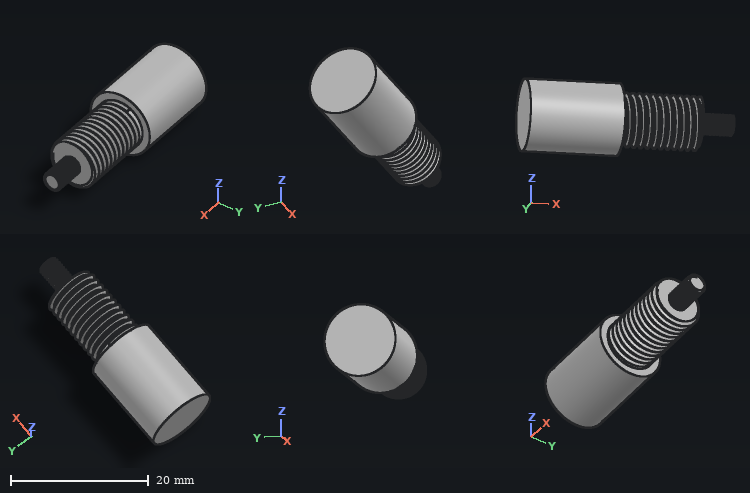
import cadquery as cq
import math

HEAD_DIAMETER = 10.6
HEAD_LENGTH = 14.0

BODY_DIAMETER = 8.0
BODY_LENGTH = 12.0
BODY_PITCH = 1.0
BODY_START_ANGLE = 64.0

STUD_DIAMETER = 3.0
STUD_LENGTH = 5.0
STUD_PITCH = 0.5
STUD_START_ANGLE = 50.0

FLANK_HALF_ANGLE = math.radians(30.0)
CREST_FRACTION = 0.1
ROOT_FRACTION = 0.2
GROOVE_PHASE = 0.25
FULL_TURN = 360.0
OVERCUT_FRACTION = 0.05
RUNOUT_TURNS = 1.5

BLANK_MARGIN_TURNS = 4


def thread_groove(diameter, length, pitch, start_angle):
    """Right-hand helical groove about local Z, with an abrupt radial start face."""
    crest_radius = diameter / 2
    root_half_width = pitch * ROOT_FRACTION / 2
    crest_half_width = pitch * (1 - CREST_FRACTION) / 2
    depth = (crest_half_width - root_half_width) / math.tan(FLANK_HALF_ANGLE)
    root_radius = crest_radius - depth
    overcut = pitch * OVERCUT_FRACTION
    outer_radius = crest_radius + overcut
    outer_half_width = crest_half_width + overcut * math.tan(FLANK_HALF_ANGLE)

    helix = cq.Wire.makeHelix(pitch, length + RUNOUT_TURNS * pitch, root_radius)
    groove = (
        cq.Workplane("XZ")
        .moveTo(root_radius, -root_half_width)
        .lineTo(outer_radius, -outer_half_width)
        .lineTo(outer_radius, outer_half_width)
        .lineTo(root_radius, root_half_width)
        .close()
        .sweep(cq.Workplane(obj=helix), isFrenet=True)
    )
    start_height = pitch * (GROOVE_PHASE + start_angle / FULL_TURN)
    return groove.rotate((0, 0, 0), (0, 0, 1), start_angle).translate((0, 0, start_height))


def threaded_rod(diameter, length, pitch, start_angle, x_start):
    """Threaded cylinder along +X from x_start."""
    margin = BLANK_MARGIN_TURNS * pitch
    blank_length = length + 2 * margin
    blank = cq.Workplane("XY").workplane(offset=-margin).circle(diameter / 2).extrude(blank_length)
    trim = cq.Workplane("XY").circle(diameter).extrude(length)
    rod = blank.cut(thread_groove(diameter, length, pitch, start_angle)).intersect(trim)
    rod_plane = cq.Plane(origin=(x_start, 0, 0), xDir=(0, 1, 0), normal=(1, 0, 0))
    return cq.Workplane(obj=rod.val().moved(cq.Location(rod_plane)))


body_start = HEAD_LENGTH
stud_start = HEAD_LENGTH + BODY_LENGTH

head = cq.Workplane("YZ").circle(HEAD_DIAMETER / 2).extrude(HEAD_LENGTH)
body = threaded_rod(BODY_DIAMETER, BODY_LENGTH, BODY_PITCH, BODY_START_ANGLE, body_start)
stud = threaded_rod(STUD_DIAMETER, STUD_LENGTH, STUD_PITCH, STUD_START_ANGLE, stud_start)

result = head.union(body).union(stud)